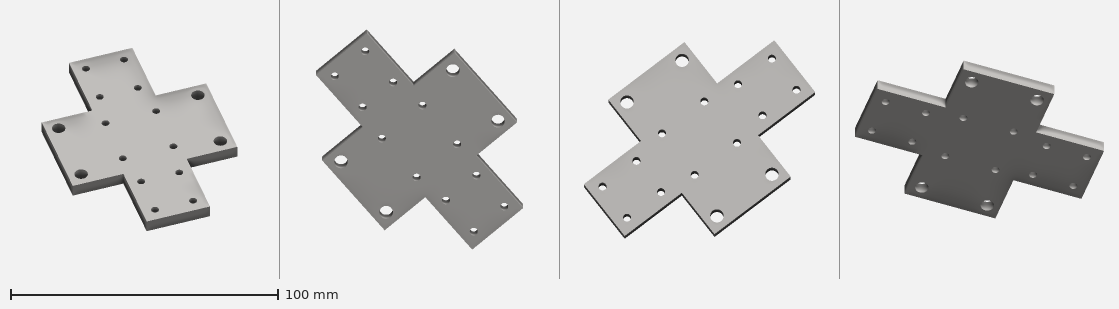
import cadquery as cq

length = 90.0
depth = 65.0
thickness = 5.0
long_arm_width = 25.0
short_arm_width = 36.0

corner_hole_diameter = 5.0
small_hole_diameter = 3.0

corner_spacing_x = 26.0
corner_spacing_y = 55.0
center_spacing = 20.0
arm_outer_spacing_x = 80.0
arm_inner_spacing_x = 48.0
arm_spacing_y = 15.0


def drill_rectangle(plate, spacing_x, spacing_y, diameter):
    """Drill four through holes at the corners of a centred rectangle."""
    return (
        plate.faces(">Z")
        .workplane(origin=(0, 0, 0))
        .rect(spacing_x, spacing_y, forConstruction=True)
        .vertices()
        .hole(diameter)
    )


long_bar = cq.Workplane("XY").box(length, long_arm_width, thickness)
short_bar = cq.Workplane("XY").box(short_arm_width, depth, thickness)
plate = long_bar.union(short_bar).clean()

plate = drill_rectangle(plate, corner_spacing_x, corner_spacing_y, corner_hole_diameter)

plate = drill_rectangle(plate, center_spacing, center_spacing, small_hole_diameter)

for spacing_x in (arm_inner_spacing_x, arm_outer_spacing_x):
    plate = drill_rectangle(plate, spacing_x, arm_spacing_y, small_hole_diameter)

result = plate